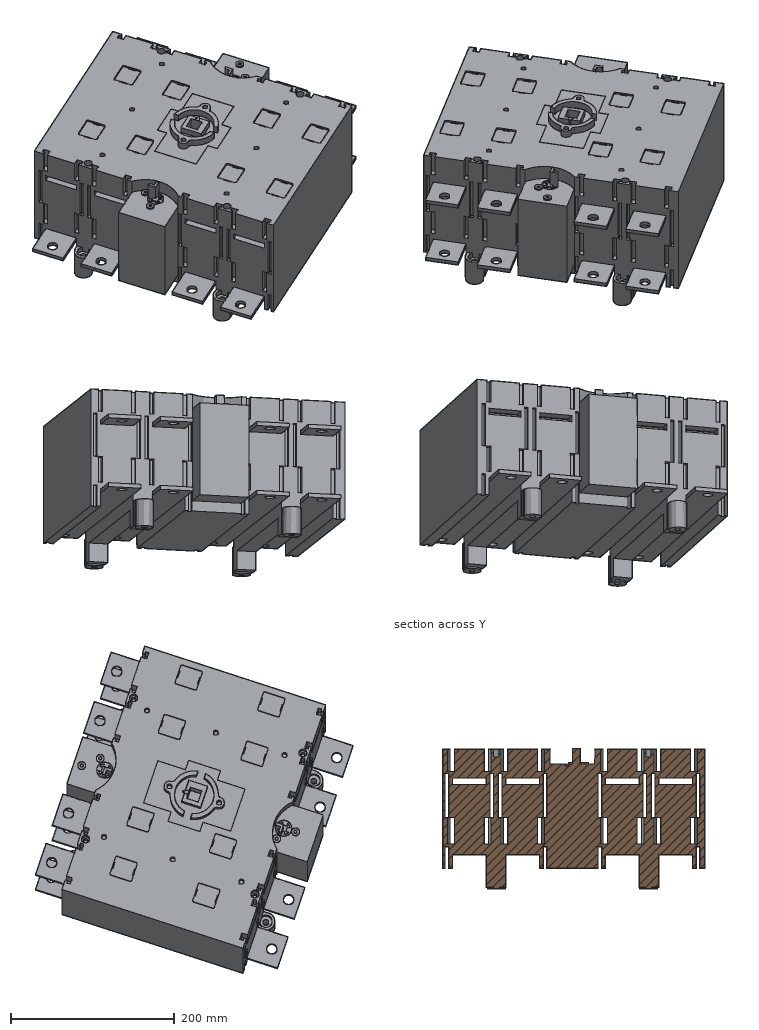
import cadquery as cq
import math


HOUSING_LENGTH = 321.0
HOUSING_DEPTH = 233.5
HOUSING_HEIGHT = 146.0
HOUSING_OFFSET_X = -1.5
FACE_Y = HOUSING_DEPTH / 2
TOTAL_DEPTH = 312.0
END_Y = TOTAL_DEPTH / 2

POLE_INNER_X = 61.0
POLE_OUTER_X = 126.0
POLES = (-POLE_OUTER_X, -POLE_INNER_X, POLE_INNER_X, POLE_OUTER_X)
TERMINAL_WIDTH = 41.0
TERMINAL_THICKNESS = 4.8
TERMINAL_HOLE = 12.5
TERMINAL_HOLE_Y = 142.0
TERMINAL_LOW_Z = 16.7
TERMINAL_HIGH_Z = 102.7

OPENING_HEIGHT = 7.7
OPENING_DEPTH = 9.5
OPENING_GAP_DEPTH = 16.0

HOOK_NEAR = 18.3
HOOK_MOUTH = 23.5
HOOK_FAR = 26.3
HOOK_LIP = 3.2
HOOK_DEPTH = 7.5
HOOK_SPANS = ((118.8, HOUSING_HEIGHT), (30.2, 62.3))

GROOVE_NEAR = 25.5
GROOVE_FAR = 29.5
GROOVE_DEPTH = 4.8
GROOVE_SPAN = (62.3, 116.0)
FOOT_GROOVE_TOP = 26.3

LEG_X = (POLE_INNER_X + POLE_OUTER_X) / 2
LEG_WIDTH = POLE_OUTER_X - POLE_INNER_X - TERMINAL_WIDTH
LEG_NARROW_WIDTH = 22.5
LEG_INNER_Y = 101.0
LEG_OUTER_Y = 124.5
LEG_BOTTOM = -23.0
PILLAR_X = 93.0
PILLAR_Y = 123.3
PILLAR_DIAMETER = 22.0
PILLAR_TOP = 8.7
PILLAR_BOTTOM = -25.0
PILLAR_BORE = 7.0
PILLAR_COUNTERBORE = 15.5
PILLAR_COUNTERBORE_DEPTH = 6.5

TOP_HOLE_X = 83.5
TOP_HOLE_Y = 88.5
TOP_HOLE = 6.0
TOP_HOLE_DEPTH = 8.0
COVER_SCREW_Y = 109.0
COVER_SCREW_HEAD = 9.5
COVER_SCREW_HEAD_DEPTH = 9.5
COVER_SCREW_BORE = 5.5
COVER_SCREW_BORE_DEPTH = 19.3

WINDOW_OFFSET_X = 12.5
WINDOW_Y = 53.3
WINDOW_WIDTH = 24.7
WINDOW_LENGTH = 28.0
WINDOW_DEPTH = 2.2
WINDOW_RADIUS = 2.0
WINDOW_CATCH_WIDTH = 8.5
WINDOW_CATCH_REACH = 1.3
WINDOW_CATCH_HEIGHT = 1.3

BLOCK_WIDTH = 62.0
BLOCK_BOTTOM = 13.0
BLOCK_TOP = 127.8
REAR_BLOCK_Y = 154.0
ARCH_RISE = 13.5
SELECTOR_Y = 115.2
SELECTOR_DIAMETER = 20.0
SELECTOR_HUB = 15.5
SELECTOR_NOTCH_WIDTH = 5.8
SELECTOR_NOTCH_START = 4.0
SELECTOR_RECESS = 2.0
SELECTOR_TOP = 147.0
SELECTOR_WALL = 3.2
SCREW_HEAD = 9.5
SCREW_SOCKET = 4.0
SCREW_HEAD_HEIGHT = 2.0
FRONT_SCREWS = ((-15.5, -111.5), (0.0, -130.5))
REAR_SCREWS = ((-4.0, 143.8), (12.0, 125.2))

CROSS_LENGTH = 112.5
CROSS_WIDTH = 55.5
CROSS_SPAN = 80.2
CROSS_ARM_WIDTH = 41.0
CROSS_DEPTH = 0.3
COLLAR_HEIGHT = 9.3
COLLAR_OUTER = 59.0
COLLAR_INNER = 48.0
COLLAR_GAP = 10.0
LUG_Y = 32.0
LUG_DIAMETER = 13.0
LUG_HOLE = 6.0
LUG_FLARE = 4.8
SOCKET_WIDTH = 27.5
SOCKET_LENGTH = 24.5
SOCKET_OFFSET_X = 1.3
SOCKET_HEIGHT = 8.0
SHAFT_HOLE = 14.8
SHAFT_HOLE_DEPTH = 19.3
POINTER_WIDTH = 6.5
POINTER_BASE_Y = 7.7
POINTER_TIP_Y = 15.0
POINTER_HEIGHT = 8.5


def box(x0, x1, y0, y1, z0, z1):
    """Box between two corners, given in any order along each axis."""
    return (
        cq.Workplane("XY")
        .box(abs(x1 - x0), abs(y1 - y0), abs(z1 - z0))
        .translate(((x0 + x1) / 2, (y0 + y1) / 2, (z0 + z1) / 2))
    )


def cylinder(x, y, z0, z1, diameter):
    """Upright cylinder between two heights."""
    return cq.Workplane("XY", origin=(x, y, z0)).circle(diameter / 2).extrude(z1 - z0)


def cut_all(body, tools):
    """Remove all tools from the body in one operation."""
    return cq.Workplane(body.val().cut(*[tool.val() for tool in tools]))


def join_all(body, pieces):
    """Fuse all pieces to the body in one operation."""
    return cq.Workplane(body.val().fuse(*[piece.val() for piece in pieces]))


def housing():
    """Main block with a wiring channel under every pole."""
    middle = HOUSING_LENGTH / 2
    body = box(
        HOUSING_OFFSET_X - middle, HOUSING_OFFSET_X + middle, -FACE_Y, FACE_Y, 0, HOUSING_HEIGHT
    )
    half = TERMINAL_WIDTH / 2
    channels = [box(x - half, x + half, -FACE_Y, FACE_Y, 0, TERMINAL_LOW_Z) for x in POLES]
    return cut_all(body, channels)


def hook_groove(x, direction, side, span):
    """Groove whose inner part hooks away from the pole, below a lip at the face."""
    face = side * FACE_Y
    mouth = box(
        x + direction * HOOK_NEAR, x + direction * HOOK_MOUTH, face, face - side * HOOK_DEPTH, *span
    )
    hook = box(
        x + direction * HOOK_NEAR,
        x + direction * HOOK_FAR,
        face - side * HOOK_LIP,
        face - side * HOOK_DEPTH,
        *span,
    )
    return mouth.union(hook)


def plain_groove(x, direction, side, span):
    """Shallow rectangular groove in a front or rear face."""
    face = side * FACE_Y
    return box(
        x + direction * GROOVE_NEAR,
        x + direction * GROOVE_FAR,
        face,
        face - side * GROOVE_DEPTH,
        *span,
    )


def cut_face_grooves(body):
    """Hooked and plain grooves on both sides of each pole, front and rear."""
    grooves = []
    for side in (-1, 1):
        for x in POLES:
            for direction in (-1, 1):
                for span in HOOK_SPANS:
                    grooves.append(hook_groove(x, direction, side, span))
                grooves.append(plain_groove(x, direction, side, GROOVE_SPAN))
        foot_span = (0, FOOT_GROOVE_TOP)
        for hand in (-1, 1):
            grooves.append(plain_groove(hand * POLE_OUTER_X, hand, side, foot_span))
            grooves.append(plain_groove(hand * POLE_INNER_X, -hand, side, foot_span))
    return cut_all(body, grooves)


def cut_terminal_openings(body):
    """Front openings, deeper above the step that carries the terminal."""
    half = TERMINAL_WIDTH / 2
    step = TERMINAL_HIGH_Z + TERMINAL_THICKNESS
    top = TERMINAL_HIGH_Z + OPENING_HEIGHT
    openings = []
    for x in POLES:
        floor_end = OPENING_DEPTH - FACE_Y
        gap_end = OPENING_GAP_DEPTH - FACE_Y
        openings.append(box(x - half, x + half, -FACE_Y, floor_end, TERMINAL_HIGH_Z, top))
        openings.append(box(x - half, x + half, -FACE_Y, gap_end, step, top))
    return cut_all(body, openings)


def terminal(x, side, bottom):
    """Flat terminal with one bolt hole."""
    half = TERMINAL_WIDTH / 2
    top = bottom + TERMINAL_THICKNESS
    bar = box(x - half, x + half, side * (FACE_Y - HOOK_DEPTH), side * END_Y, bottom, top)
    return bar.cut(cylinder(x, side * TERMINAL_HOLE_Y, bottom, top, TERMINAL_HOLE))


def add_terminals(body):
    """Lower terminals front and rear, upper terminals at the rear only."""
    terminals = []
    for x in POLES:
        terminals.append(terminal(x, -1, TERMINAL_LOW_Z))
        terminals.append(terminal(x, 1, TERMINAL_LOW_Z))
        terminals.append(terminal(x, 1, TERMINAL_HIGH_Z))
    return join_all(body, terminals)


def add_mounting(body):
    """Four legs, narrower beyond the housing face, each with a bored pillar."""
    pieces = []
    bores = []
    half = LEG_WIDTH / 2
    half_narrow = LEG_NARROW_WIDTH / 2
    for hand in (-1, 1):
        for side in (-1, 1):
            leg = hand * LEG_X
            face = side * FACE_Y
            inner = side * LEG_INNER_Y
            outer = side * LEG_OUTER_Y
            pieces.append(box(leg - half, leg + half, inner, face, LEG_BOTTOM, PILLAR_TOP))
            pieces.append(
                box(leg - half_narrow, leg + half_narrow, inner, outer, LEG_BOTTOM, PILLAR_TOP)
            )
            x = hand * PILLAR_X
            y = side * PILLAR_Y
            pieces.append(cylinder(x, y, PILLAR_BOTTOM, PILLAR_TOP, PILLAR_DIAMETER))
            bores.append(cylinder(x, y, PILLAR_BOTTOM, PILLAR_TOP, PILLAR_BORE))
            counterbore_floor = PILLAR_TOP - PILLAR_COUNTERBORE_DEPTH
            counterbore = cylinder(x, y, counterbore_floor, PILLAR_TOP, PILLAR_COUNTERBORE)
            outside = box(
                x - PILLAR_DIAMETER, x + PILLAR_DIAMETER, face, side * END_Y, 0, PILLAR_TOP
            )
            bores.append(counterbore.intersect(outside))
    return cut_all(join_all(body, pieces), bores)


def cut_top_holes(body):
    """Small blind holes and counterbored cover screw holes."""
    holes = []
    top = HOUSING_HEIGHT
    for hand in (-1, 1):
        for y in (-TOP_HOLE_Y, 0, TOP_HOLE_Y):
            holes.append(cylinder(hand * TOP_HOLE_X, y, top - TOP_HOLE_DEPTH, top, TOP_HOLE))
        x = hand * PILLAR_X
        for y in (-COVER_SCREW_Y, COVER_SCREW_Y):
            holes.append(cylinder(x, y, top - COVER_SCREW_HEAD_DEPTH, top, COVER_SCREW_HEAD))
            holes.append(cylinder(x, y, top - COVER_SCREW_BORE_DEPTH, top, COVER_SCREW_BORE))
    return cut_all(body, holes)


def cut_windows(body):
    """Two shallow rounded windows per pole, each with a catch at both ends."""
    floor = HOUSING_HEIGHT - WINDOW_DEPTH
    half_catch = WINDOW_CATCH_WIDTH / 2
    windows = []
    for pole in POLES:
        x = pole + WINDOW_OFFSET_X
        for y in (-WINDOW_Y, WINDOW_Y):
            window = box(
                x - WINDOW_WIDTH / 2,
                x + WINDOW_WIDTH / 2,
                y - WINDOW_LENGTH / 2,
                y + WINDOW_LENGTH / 2,
                floor,
                HOUSING_HEIGHT,
            )
            window = window.edges("|Z").fillet(WINDOW_RADIUS)
            for end in (-1, 1):
                wall = y + end * WINDOW_LENGTH / 2
                window = window.cut(
                    box(
                        x - half_catch,
                        x + half_catch,
                        wall,
                        wall - end * WINDOW_CATCH_REACH,
                        floor,
                        floor + WINDOW_CATCH_HEIGHT,
                    )
                )
            windows.append(window)
    return cut_all(body, windows)


def screw_head(x, y):
    """Raised round screw head with a socket."""
    head = cylinder(x, y, BLOCK_TOP, BLOCK_TOP + SCREW_HEAD_HEIGHT, SCREW_HEAD)
    return head.cut(cylinder(x, y, BLOCK_TOP, BLOCK_TOP + SCREW_HEAD_HEIGHT, SCREW_SOCKET))


def selector_recess(y):
    """Round recess around a hub that is notched on its four axes."""
    floor = BLOCK_TOP - SELECTOR_RECESS
    hub = cylinder(0, 0, floor, BLOCK_TOP, SELECTOR_HUB)
    half_notch = SELECTOR_NOTCH_WIDTH / 2
    notch = box(SELECTOR_NOTCH_START, SELECTOR_HUB, -half_notch, half_notch, floor, BLOCK_TOP)
    for quarter in range(4):
        hub = hub.cut(notch.rotate((0, 0, 0), (0, 0, 1), 90 * quarter))
    return cylinder(0, 0, floor, BLOCK_TOP, SELECTOR_DIAMETER).cut(hub).translate((0, y, 0))


def selector_post(y, side):
    """L-shaped post inside one quarter of the selector disc, open towards the housing."""
    floor = BLOCK_TOP - SELECTOR_RECESS
    reach = SELECTOR_DIAMETER / 2
    disc = cylinder(0, y, floor, SELECTOR_TOP, SELECTOR_DIAMETER)
    post = disc.intersect(box(-reach, 0, y, y - side * reach, floor, SELECTOR_TOP))
    inside = y - side * SELECTOR_WALL
    return post.cut(box(-reach, -SELECTOR_WALL, inside, y - side * reach, floor, SELECTOR_TOP))


def add_end_block(body, side, end, screws):
    """End block with its arched clearance, selector and screws."""
    half = BLOCK_WIDTH / 2
    face = side * FACE_Y
    arch = (
        cq.Workplane("XY", origin=(0, 0, BLOCK_TOP))
        .moveTo(-half, face)
        .threePointArc((0, face - side * ARCH_RISE), (half, face))
        .close()
        .extrude(HOUSING_HEIGHT - BLOCK_TOP)
    )
    body = body.cut(arch)
    body = body.union(box(-half, half, face - side * ARCH_RISE, end, BLOCK_BOTTOM, BLOCK_TOP))

    y = side * SELECTOR_Y
    heads = [screw_head(*position) for position in screws]
    body = body.cut(selector_recess(y))
    return join_all(body, [selector_post(y, side)] + heads)


def collar():
    """Split ring with a drilled lug at the front and at the rear."""
    lug_radius = LUG_DIAMETER / 2
    ring = cylinder(0, 0, 0, COLLAR_HEIGHT, COLLAR_OUTER)
    for side in (-1, 1):
        ring = ring.union(cylinder(0, side * LUG_Y, 0, COLLAR_HEIGHT, LUG_DIAMETER))
        ring_radius = COLLAR_OUTER / 2
        meet_y = (ring_radius**2 - lug_radius**2 + LUG_Y**2) / (2 * LUG_Y)
        meet_x = math.sqrt(ring_radius**2 - meet_y**2)
        for hand in (-1, 1):
            corner = cq.selectors.NearestToPointSelector(
                (hand * meet_x, side * meet_y, COLLAR_HEIGHT / 2)
            )
            ring = ring.edges(corner).fillet(LUG_FLARE)
    ring = ring.cut(cylinder(0, 0, 0, COLLAR_HEIGHT, COLLAR_INNER))
    gap = COLLAR_GAP / 2
    ring = ring.cut(box(-COLLAR_OUTER, COLLAR_OUTER, -gap, gap, 0, COLLAR_HEIGHT))
    for side in (-1, 1):
        ring = ring.cut(cylinder(0, side * LUG_Y, 0, COLLAR_HEIGHT, LUG_HOLE))
    return ring


def shaft_socket():
    """Rectangular boss around the shaft, with a pointer on its rear edge."""
    x = SOCKET_OFFSET_X
    half_length = SOCKET_LENGTH / 2
    boss = box(
        x - SOCKET_WIDTH / 2, x + SOCKET_WIDTH / 2, -half_length, half_length, 0, SOCKET_HEIGHT
    )
    pointer = (
        cq.Workplane("XY")
        .polyline(
            [
                (-POINTER_WIDTH / 2, POINTER_BASE_Y),
                (POINTER_WIDTH / 2, POINTER_BASE_Y),
                (0, POINTER_TIP_Y),
            ]
        )
        .close()
        .extrude(POINTER_HEIGHT)
    )
    return boss.union(pointer)


def add_mechanism(body):
    """Cross-shaped seat carrying the collar, with a square shaft hole."""
    seat = HOUSING_HEIGHT - CROSS_DEPTH
    half_width = CROSS_WIDTH / 2
    half_length = CROSS_LENGTH / 2
    half_span = CROSS_SPAN / 2
    half_arm = CROSS_ARM_WIDTH / 2
    cross = box(-half_width, half_width, -half_length, half_length, seat, HOUSING_HEIGHT)
    cross = cross.union(box(-half_span, half_span, -half_arm, half_arm, seat, HOUSING_HEIGHT))
    body = body.cut(cross)
    body = join_all(body, [piece.translate((0, 0, seat)) for piece in (collar(), shaft_socket())])
    half_hole = SHAFT_HOLE / 2
    socket_top = HOUSING_HEIGHT + POINTER_HEIGHT
    hole_floor = HOUSING_HEIGHT + SOCKET_HEIGHT - SHAFT_HOLE_DEPTH
    return body.cut(box(-half_hole, half_hole, -half_hole, half_hole, hole_floor, socket_top))


result = cut_face_grooves(housing())
result = cut_terminal_openings(result)
result = add_terminals(result)
result = add_mounting(result)
result = cut_top_holes(result)
result = cut_windows(result)
result = add_end_block(result, -1, -END_Y, FRONT_SCREWS)
result = add_end_block(result, 1, REAR_BLOCK_Y, REAR_SCREWS)
result = add_mechanism(result)